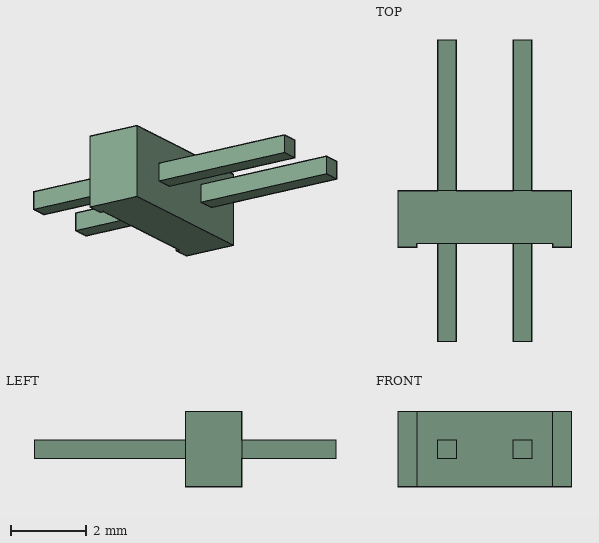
import cadquery as cq

body_length = 4.6
body_depth = 1.5
body_height = 2.0

foot_width = 0.5
recess_depth = 0.1

pin_count = 2
pin_pitch = 2.0
pin_size = 0.5
pin_front_reach = 2.5
pin_rear_reach = 4.0


def make_body():
    """Block whose rear face lies on Y = 0, with the recess cut in its front face."""
    block = cq.Workplane("XY").box(body_length, body_depth, body_height)
    block = block.translate((0, -body_depth / 2, 0))
    recess_length = body_length - 2 * foot_width
    recess = cq.Workplane("XY").box(recess_length, recess_depth, body_height)
    recess = recess.translate((0, -body_depth + recess_depth / 2, 0))
    return block.cut(recess)


def make_pin(x_center):
    """Square pin along Y, standing out of both the front and rear faces."""
    pin_length = pin_front_reach + body_depth + pin_rear_reach
    y_center = pin_rear_reach - pin_length / 2
    pin = cq.Workplane("XY").box(pin_size, pin_length, pin_size)
    return pin.translate((x_center, y_center, 0))


result = make_body()
for index in range(pin_count):
    pin_x = (index - (pin_count - 1) / 2) * pin_pitch
    result = result.union(make_pin(pin_x))